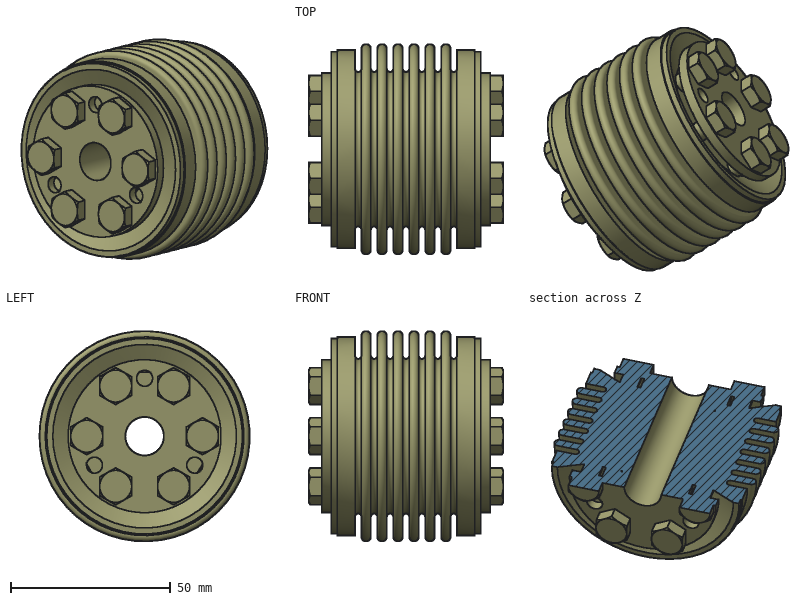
import cadquery as cq
import math

bolt_head_top = 30.5
plate_face = 26.45
lip_face = 23.5
flange_face = 21.5
recess_floor = 19.3
bellows_end = 16.0

bore_diameter = 12.0

bellows_diameter = 66.0
root_diameter = 48.6
crest_count = 6
crest_radius = 1.5
root_count = crest_count + 1
root_radius = (bellows_end - crest_count * crest_radius) / root_count

flange_diameter = 62.3
lip_diameter = 61.3
recess_mouth_diameter = 57.55
recess_floor_diameter = 40.25

plate_diameter = 48.0
plate_thickness = 3.2
hub_diameter = 28.5

pitch_circle_radius = 18.15
bolt_count = 6
shank_diameter = 6.0
head_flats = 10.0
head_corners = head_flats / math.cos(math.radians(30))
head_chamfer_angle = 30
jack_hole_count = 3
jack_hole_diameter = 5.0


def cylinder(diameter, start, end):
    """Round bar along the X axis between two X positions."""
    return cq.Workplane("YZ").workplane(offset=start).circle(diameter / 2).extrude(end - start)


def revolve_about_x(profile):
    """Close a profile in the XY plane and turn it a full circle about the X axis."""
    return profile.close().revolve(360, (0, 0, 0), (1, 0, 0))


def on_pitch_circle(body, count, first_angle):
    """Copies of a body, evenly spaced on the pitch circle, counted from the Y axis."""
    copies = cq.Workplane("YZ")
    for i in range(count):
        angle = math.radians(first_angle + i * 360 / count)
        y = pitch_circle_radius * math.cos(angle)
        z = pitch_circle_radius * math.sin(angle)
        copies = copies.add(body.translate((0, y, z)))
    return copies.combine()


def add_half_circle(profile, radius, base, peak):
    """Continue a profile in +X with a half circle from height base, through peak, back to base."""
    x = profile.val().endPoint().x
    return profile.threePointArc((x + radius, peak), (x + 2 * radius, base))


def make_bellows():
    root_base = root_diameter / 2 + root_radius
    crest_base = bellows_diameter / 2 - crest_radius

    profile = cq.Workplane("XY").moveTo(-bellows_end, 0).lineTo(-bellows_end, root_base)
    profile = add_half_circle(profile, root_radius, root_base, root_diameter / 2)
    for _ in range(crest_count):
        profile = profile.line(0, crest_base - root_base)
        profile = add_half_circle(profile, crest_radius, crest_base, bellows_diameter / 2)
        profile = profile.line(0, root_base - crest_base)
        profile = add_half_circle(profile, root_radius, root_base, root_diameter / 2)
    return revolve_about_x(profile.lineTo(bellows_end, 0))


def make_flange():
    profile = (
        cq.Workplane("XY")
        .moveTo(-recess_floor, 0)
        .lineTo(-recess_floor, recess_floor_diameter / 2)
        .lineTo(-lip_face, recess_mouth_diameter / 2)
        .lineTo(-lip_face, lip_diameter / 2)
        .lineTo(-flange_face, lip_diameter / 2)
        .lineTo(-flange_face, flange_diameter / 2)
        .lineTo(-bellows_end, flange_diameter / 2)
        .lineTo(-bellows_end, 0)
    )
    return revolve_about_x(profile)


def make_plate():
    plate_back = plate_face - plate_thickness
    plate = cylinder(plate_diameter, -plate_face, -plate_back)
    jack_hole = cylinder(jack_hole_diameter, -plate_face, -plate_back)
    plate = plate.cut(on_pitch_circle(jack_hole, jack_hole_count, 90))
    hub = cylinder(hub_diameter, -plate_back, -recess_floor)
    return plate.union(hub)


def make_bolt():
    """Bolt on the X axis: hexagonal head with chamfered corners, and shank down to the recess floor."""
    hexagon = (
        cq.Workplane("YZ")
        .workplane(offset=-bolt_head_top)
        .polygon(6, head_corners)
        .extrude(bolt_head_top - plate_face)
        .rotate((0, 0, 0), (1, 0, 0), 30)
    )
    chamfer_depth = (head_corners - head_flats) / 2 * math.tan(math.radians(head_chamfer_angle))
    chamfer_profile = (
        cq.Workplane("XY")
        .moveTo(-bolt_head_top, 0)
        .lineTo(-bolt_head_top, head_flats / 2)
        .lineTo(-bolt_head_top + chamfer_depth, head_corners / 2)
        .lineTo(-plate_face, head_corners / 2)
        .lineTo(-plate_face, 0)
    )
    head = hexagon.intersect(revolve_about_x(chamfer_profile))
    shank = cylinder(shank_diameter, -plate_face, -recess_floor)
    return head.union(shank)


bolts = on_pitch_circle(make_bolt(), bolt_count, 0)
end_assembly = make_flange().union(make_plate()).union(bolts)

result = make_bellows().union(end_assembly).union(end_assembly.mirror("YZ"))
result = result.cut(cylinder(bore_diameter, -plate_face, plate_face))